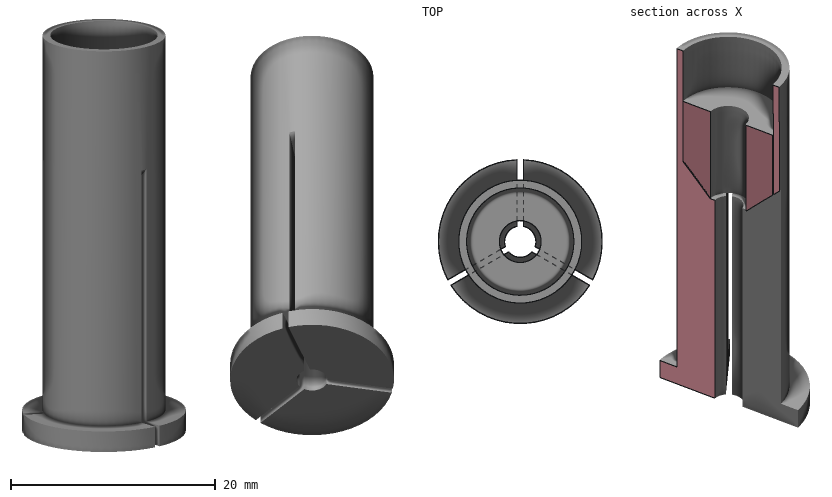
import cadquery as cq

total_height = 40.0
sleeve_radius = 6.0
flange_radius = 8.0
flange_height = 2.1
bore_radius = 5.25
screw_hole_radius = 1.5

slot_count = 3
slot_width = 0.6
slot_top = 27.6
first_slot_angle = 90.0

plug_recess = 6.0
plug_top = total_height - plug_recess
plug_hole_radius = 2.05


def cone_height(radius):
    """Height of the 45 degree cone surface at a given radius."""
    return slot_top - (sleeve_radius - radius)


def cylinder(radius, bottom, top):
    """Upright cylinder on the Z axis between two heights."""
    return cq.Workplane("XY").workplane(offset=bottom).circle(radius).extrude(top - bottom)


def make_cone_ended_cylinder(radius, top):
    """Cylinder whose lower end tapers along the cone to the plug hole radius."""
    profile = [
        (0, cone_height(plug_hole_radius)),
        (plug_hole_radius, cone_height(plug_hole_radius)),
        (radius, cone_height(radius)),
        (radius, top),
        (0, top),
    ]
    return cq.Workplane("XZ").polyline(profile).close().revolve(360, (0, 0, 0), (0, 1, 0))


def make_slot(angle):
    """Radial cutter from the axis past the flange rim, its upper end on the cone."""
    slot = cq.Workplane("XY").box(
        flange_radius + slot_width, slot_width, slot_top, centered=(False, True, False)
    )
    slot = slot.cut(make_cone_ended_cylinder(sleeve_radius, total_height))
    return slot.rotate((0, 0, 0), (0, 0, 1), angle)


def make_sleeve():
    """Flanged sleeve with a bore on a conical seat, a screw hole and radial slots."""
    sleeve = cylinder(sleeve_radius, 0, total_height)
    sleeve = sleeve.union(cylinder(flange_radius, 0, flange_height))
    sleeve = sleeve.cut(make_cone_ended_cylinder(bore_radius, total_height))
    sleeve = sleeve.cut(cylinder(screw_hole_radius, 0, total_height))
    for index in range(slot_count):
        sleeve = sleeve.cut(make_slot(first_slot_angle + index * 360.0 / slot_count))
    return sleeve


def make_plug():
    """Cone-ended plug with a through hole, recessed below the sleeve mouth."""
    plug = make_cone_ended_cylinder(bore_radius, plug_top)
    return plug.cut(cylinder(plug_hole_radius, 0, plug_top))


sleeve = make_sleeve()
plug = make_plug()

result = cq.Compound.makeCompound([sleeve.val(), plug.val()])